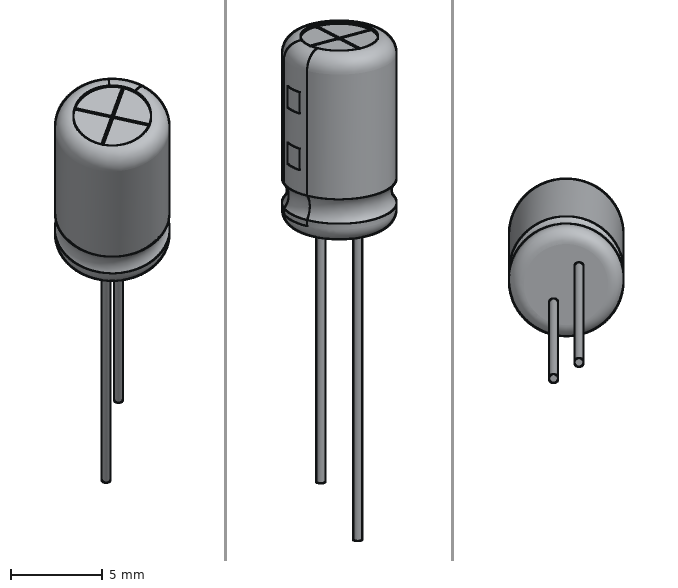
import cadquery as cq
import math

total_height = 30.0
can_diameter = 6.3
can_height = 11.0
can_radius = can_diameter / 2
can_bottom = total_height - can_height

top_fillet = 1.02
bottom_fillet = 0.85
groove_start = 1.2
groove_width = 1.45
groove_depth = 0.27

recess_radius = can_radius - top_fillet
recess_depth = 0.25
plate_thickness = 0.12
plate_gap = 0.1
plate_count = 4

stripe_angle = 40.0
stripe_thickness = 0.12
minus_angle = 20.0
minus_height = 1.25
minus_pitch = 3.33
minus_count = 2

lead_diameter = 0.5
lead_pitch = 2.5
long_lead_length = can_bottom
short_lead_length = 15.0

axis_start = (0, 0)
axis_end = (0, 1)


def can_blank(inset):
    """Full round can, with its side and rounded ends moved inward by the inset."""
    radius = can_radius - inset
    groove_bottom = can_bottom + groove_start
    groove_top = groove_bottom + groove_width
    bottom_round = bottom_fillet - inset
    top_round = top_fillet - inset
    side_bottom = can_bottom + bottom_fillet
    side_top = total_height - top_fillet
    bottom_flat = can_radius - bottom_fillet
    corner = math.sin(math.radians(45))
    profile = (
        cq.Workplane("XZ")
        .moveTo(0, can_bottom + inset)
        .lineTo(bottom_flat, can_bottom + inset)
        .threePointArc(
            (bottom_flat + bottom_round * corner, side_bottom - bottom_round * corner),
            (radius, side_bottom),
        )
        .lineTo(radius, groove_bottom)
        .threePointArc(
            (radius - groove_depth, (groove_bottom + groove_top) / 2),
            (radius, groove_top),
        )
        .lineTo(radius, side_top)
        .threePointArc(
            (recess_radius + top_round * corner, side_top + top_round * corner),
            (recess_radius, total_height - inset),
        )
        .lineTo(0, total_height - inset)
        .close()
    )
    return profile.revolve(360, axis_start, axis_end)


def wedge(angle, bottom, height):
    """Upright sector of the given angle, centred on +Y and reaching past the can's side."""
    reach = can_diameter
    half_width = reach * math.tan(math.radians(angle / 2))
    return (
        cq.Workplane("XY", origin=(0, 0, bottom))
        .polyline([(0, 0), (half_width, reach), (-half_width, reach)])
        .close()
        .extrude(height)
    )


def recess_disc(depth, thickness):
    """Disc as wide as the top recess, with its lower face at the given depth below the can's top."""
    return cq.Workplane("XY", origin=(0, 0, total_height - depth)).circle(recess_radius).extrude(thickness)


skin = can_blank(0).cut(can_blank(stripe_thickness))
stripe_bottom = can_bottom + bottom_fillet
inlay = skin.intersect(wedge(stripe_angle, stripe_bottom, total_height - stripe_bottom))
inlay = inlay.cut(recess_disc(recess_depth, recess_depth))


def minus_sign(index):
    """Patch of the inlay's straight side; the signs are spaced evenly about the side's middle."""
    side_start = can_bottom + groove_start + groove_width
    side_end = total_height - top_fillet
    middle = (side_start + side_end) / 2 + (index - (minus_count - 1) / 2) * minus_pitch
    return inlay.intersect(wedge(minus_angle, middle - minus_height / 2, minus_height))


minus_signs = [minus_sign(index) for index in range(minus_count)]
stripe = inlay
for sign in minus_signs:
    stripe = stripe.cut(sign)

can = can_blank(0).cut(recess_disc(recess_depth, recess_depth)).cut(inlay)


def top_plate(angle):
    """Quarter disc lying in the recess, half a gap away from both arms of the cross."""
    half_gap = plate_gap / 2
    quadrant = (
        cq.Workplane("XY", origin=(half_gap, half_gap, total_height - recess_depth))
        .rect(recess_radius, recess_radius, centered=False)
        .extrude(plate_thickness)
    )
    plate = recess_disc(recess_depth, plate_thickness).intersect(quadrant)
    return plate.rotate((0, 0, 0), (0, 0, 1), angle)


top_plates = [top_plate(index * 360 / plate_count) for index in range(plate_count)]


def lead(y, length):
    """Round wire hanging from the can's bottom."""
    return cq.Workplane("XY", origin=(0, y, can_bottom)).circle(lead_diameter / 2).extrude(-length)


long_lead = lead(-lead_pitch / 2, long_lead_length)
short_lead = lead(lead_pitch / 2, short_lead_length)

bodies = [can, stripe, *minus_signs, *top_plates, long_lead, short_lead]
result = cq.Compound.makeCompound([body.val() for body in bodies])